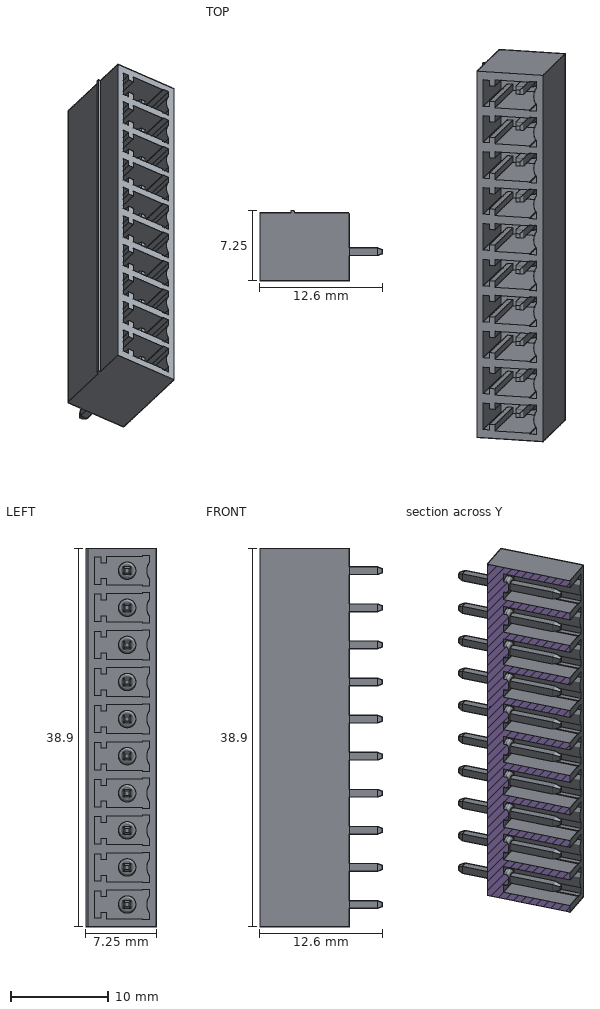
import cadquery as cq

pole_count = 10
pitch = 3.8
body_length = 9.2
body_width = 7.0
body_height = 38.9
overall_length = 12.6
corner_chamfer = 0.1

ridge_start = 3.2
ridge_base = 0.43
ridge_top = 0.3
ridge_rise = 0.25

cavity_depth = 7.4
wall_y = 0.7
relief_end_y = 1.4
rib_start_y = 5.1
rib_end_y = 5.68
cavity_end_y = 6.35
half_relief = 1.55
half_cavity = 1.48
half_rib_gap = 0.8
half_keyway = 1.4
bump_half_chord = 0.9
bump_rise = 0.27

pin_y = 3.0
pin_width = 0.8
pin_tip_width = 0.43
contact_tip_x = 1.3
contact_taper = 0.78
tail_taper = 0.5
collar_diameter = 1.8
collar_rounding = 0.3
collar_height = 0.6


def make_body():
    body = cq.Workplane("XY").box(body_length, body_width, body_height, centered=(False, False, True))
    body = body.edges("|Z and >X and >Y").chamfer(corner_chamfer)
    ridge = (
        cq.Workplane("XY", origin=(0, 0, -body_height / 2))
        .moveTo(ridge_start, body_width)
        .lineTo(ridge_start, body_width + ridge_rise)
        .lineTo(ridge_start + ridge_top, body_width + ridge_rise)
        .lineTo(ridge_start + ridge_base, body_width)
        .close()
        .extrude(body_height)
    )
    return body.union(ridge)


def make_cavity():
    """Keyed pocket of one pole, centred on Z = 0."""
    upper_side = [
        (wall_y, half_relief),
        (relief_end_y, half_relief),
        (relief_end_y, half_cavity),
        (rib_start_y, half_cavity),
        (rib_start_y, half_rib_gap),
        (rib_end_y, half_rib_gap),
        (rib_end_y, half_keyway),
        (cavity_end_y, half_keyway),
    ]
    lower_side = [(y, -z) for y, z in reversed(upper_side)]
    return (
        cq.Workplane("YZ")
        .moveTo(wall_y, bump_half_chord)
        .polyline(upper_side + lower_side, includeCurrent=True)
        .lineTo(wall_y, -bump_half_chord)
        .threePointArc((wall_y + bump_rise, 0), (wall_y, bump_half_chord))
        .close()
        .extrude(cavity_depth)
    )


def make_taper(start_x, start_width, end_x, end_width):
    """Square frustum along X on the pin axis."""
    return (
        cq.Workplane("YZ", origin=(start_x, pin_y, 0))
        .rect(start_width, start_width)
        .workplane(offset=end_x - start_x)
        .rect(end_width, end_width)
        .loft(ruled=True)
    )


def make_contact():
    """Collar on the cavity floor with a pin running through to the tail."""
    shank_start = contact_tip_x + contact_taper
    shank_end = overall_length - tail_taper
    shank = make_taper(shank_start, pin_width, shank_end, pin_width)
    contact_tip = make_taper(contact_tip_x, pin_tip_width, shank_start, pin_width)
    tail_tip = make_taper(shank_end, pin_width, overall_length, pin_tip_width)
    collar = (
        cq.Workplane("YZ", origin=(cavity_depth - collar_height, pin_y, 0))
        .circle(collar_diameter / 2)
        .extrude(collar_height)
        .faces("<X")
        .edges()
        .fillet(collar_rounding)
    )
    return shank.union(contact_tip).union(tail_tip).union(collar)


result = make_body()
cavity = make_cavity()
contact = make_contact()
for pole in range(pole_count):
    pole_z = (pole - (pole_count - 1) / 2) * pitch
    result = result.cut(cavity.translate((0, 0, pole_z)))
    result = result.union(contact.translate((0, 0, pole_z)))